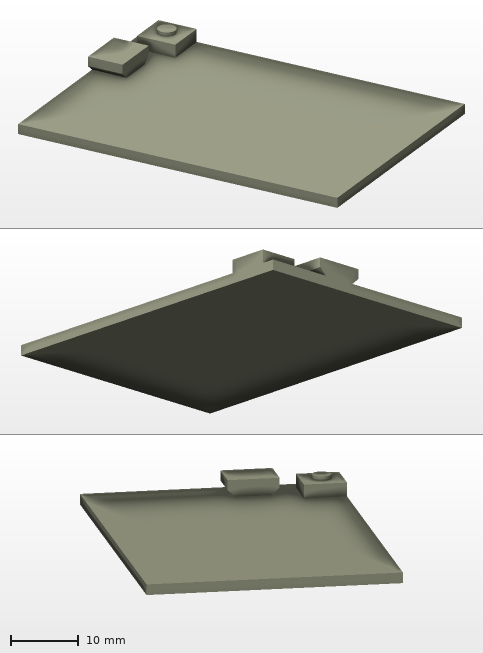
import cadquery as cq

board_length = 54.0
board_width = 38.5
board_thickness = 1.6
total_height = 4.4

button_size = 6.5
button_body_height = 2.1
button_left_gap = 2.15
cap_diameter = 2.9
cap_height = total_height - board_thickness - button_body_height

connector_length = 5.9
connector_width = 7.85
connector_height = 2.6
connector_back_gap = 9.6
taper_height = 1.1
taper_inset = 1.25


def make_board():
    return cq.Workplane("XY").box(board_length, board_width, board_thickness, centered=False)


def make_button():
    center_x = button_left_gap + button_size / 2
    center_y = board_width - button_size / 2
    body = (
        cq.Workplane("XY", origin=(center_x, center_y, board_thickness))
        .rect(button_size, button_size)
        .extrude(button_body_height)
    )
    return body.faces(">Z").workplane().circle(cap_diameter / 2).extrude(cap_height)


def make_connector():
    center_y = board_width - connector_back_gap - connector_width / 2
    half_width = connector_width / 2
    half_base = half_width - taper_inset
    profile = [
        (-half_base, 0),
        (half_base, 0),
        (half_width, taper_height),
        (half_width, connector_height),
        (-half_width, connector_height),
        (-half_width, taper_height),
    ]
    return (
        cq.Workplane("YZ", origin=(0, center_y, board_thickness))
        .polyline(profile)
        .close()
        .extrude(connector_length)
    )


result = make_board().union(make_button()).union(make_connector())